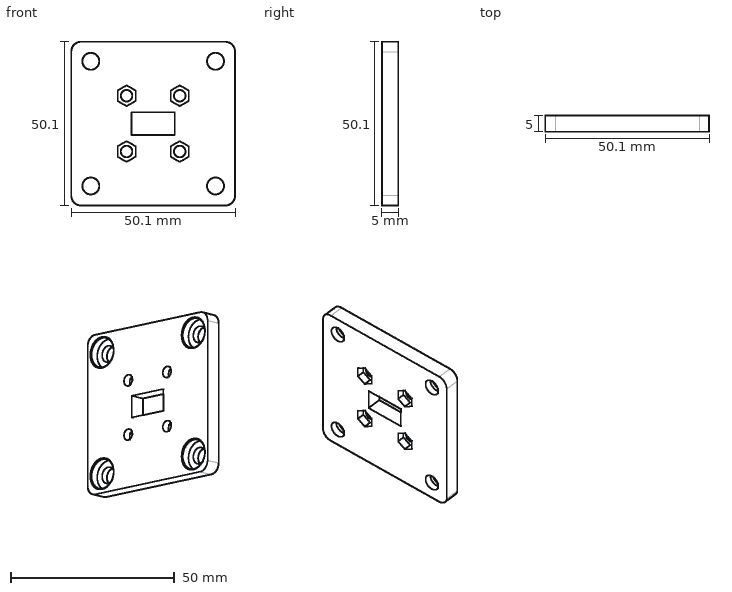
import cadquery as cq

side = 50.1
thickness = 5.0
corner_radius = 3.1

mount_spacing = 38.1
mount_diameter = 5.1
counterbore_diameter = 9.15
counterbore_depth = 2.8
counterbore_chamfer = 0.3

window_width = 13.15
window_height = 6.8

screw_spacing_x = 16.25
screw_spacing_z = 17.05
screw_diameter = 3.45
nut_across_corners = 6.35
nut_depth = 2.5

plate = (
    cq.Workplane("XZ")
    .rect(side, side)
    .extrude(thickness / 2, both=True)
    .edges("|Y")
    .fillet(corner_radius)
)


def front_plane():
    """Sketch plane on the front face, centred on the plate."""
    return cq.Workplane("XZ", origin=(0, -thickness / 2, 0))


mount_holes = (
    front_plane()
    .rarray(mount_spacing, mount_spacing, 2, 2)
    .circle(mount_diameter / 2)
    .extrude(-thickness)
)

window = front_plane().rect(window_width, window_height).extrude(-thickness)

screw_holes = (
    front_plane()
    .rarray(screw_spacing_x, screw_spacing_z, 2, 2)
    .circle(screw_diameter / 2)
    .extrude(-thickness)
)

nut_pockets = (
    front_plane()
    .transformed(rotate=(0, 0, 90))
    .rarray(screw_spacing_z, screw_spacing_x, 2, 2)
    .polygon(6, nut_across_corners)
    .extrude(-nut_depth)
)


def back_plane():
    """Sketch plane on the back face, centred on the plate; extrusions run into the plate."""
    return cq.Workplane("XZ", origin=(0, thickness / 2, 0))


counterbores = (
    back_plane()
    .rarray(mount_spacing, mount_spacing, 2, 2)
    .circle(counterbore_diameter / 2)
    .extrude(counterbore_depth)
)

counterbore_rims = (
    back_plane()
    .rarray(mount_spacing, mount_spacing, 2, 2)
    .circle(counterbore_diameter / 2 + counterbore_chamfer)
    .extrude(counterbore_chamfer, taper=45)
)

result = plate
for cutter in [mount_holes, counterbores, counterbore_rims, window, screw_holes, nut_pockets]:
    result = result.cut(cutter)